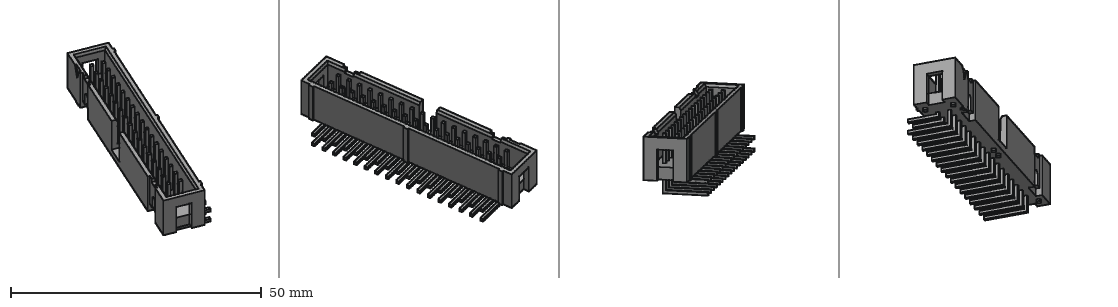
import cadquery as cq

length = 50.8
depth = 8.9
height = 8.9
end_wall = 1.25
side_wall = 1.3
floor_top = 2.6
mouth_run = 0.35
mouth_drop = 0.6
front_y = -depth / 2
back_y = depth / 2

pitch = 2.55
column_count = 17
pin_width = 0.65
pin_top = 8.65
overall_depth = 12.1
pin_tip_y = front_y + overall_depth
pin_bottom = -3.6
column_xs = [pitch * (i - (column_count - 1) / 2) for i in range(column_count)]
end_column_x = column_xs[0]
feature_x = pitch - end_column_x

key_width = 4.1
key_bottom = 1.5
key_depth = 2.0

latch_xs = (-16.5, 19.05)
latch_width = 3.95
latch_depth = 0.45
latch_foot_height = 1.7
latch_notch_width = 2.05
latch_notch_drop = 0.9
latch_slot_width = 1.4
latch_slot_top = 4.8

window_width = 3.35
window_top = 6.4

arrow_width = 2.4
arrow_height = 2.5
arrow_depth = 0.3
foot_mark_width = 1.5
foot_mark_length = 0.95
foot_mark_height = 0.2

standoff_diameter = 1
standoff_height = 0.45
standoff_y = 3.0
rib_width = 1
rib_height = 0.3


def block(x_range, y_range, z_range):
    """Axis-aligned box between the given limits."""
    (x0, x1), (y0, y1), (z0, z1) = x_range, y_range, z_range
    return cq.Workplane("XY").box(x1 - x0, y1 - y0, z1 - z0, centered=False).translate((x0, y0, z0))


def span(centre, width):
    """Limits of a width centred on a coordinate."""
    return (centre - width / 2, centre + width / 2)


def cavity():
    """Contact cavity with a flared mouth."""
    inner_length = length - 2 * end_wall
    inner_depth = depth - 2 * side_wall
    pocket = cq.Workplane("XY").workplane(offset=floor_top).rect(inner_length, inner_depth)
    pocket = pocket.extrude(height - floor_top)
    mouth = (
        cq.Workplane("XY")
        .workplane(offset=height - mouth_drop)
        .rect(inner_length, inner_depth)
        .workplane(offset=mouth_drop)
        .rect(inner_length + 2 * mouth_run, inner_depth + 2 * mouth_run)
        .loft(ruled=True)
    )
    return pocket.union(mouth)


def key_slot():
    """Slot through the front wall that also dips into the floor."""
    return block(span(0, key_width), (front_y, front_y + key_depth), (key_bottom, height))


def latch_recess(x):
    """Shallow full-height recess with a top notch, an arched slot and an undercut foot."""
    wall_y = (front_y, front_y + side_wall)
    recess = block(span(x, latch_width), (front_y, front_y + latch_depth), (0, height))
    notch = block(span(x, latch_notch_width), wall_y, (height - latch_notch_drop, height))
    foot = block(span(x, latch_width), wall_y, (0, latch_foot_height))
    arch_radius = latch_slot_width / 2
    slot = (
        cq.Workplane("XZ", origin=(x, front_y, 0))
        .moveTo(-arch_radius, 0)
        .lineTo(-arch_radius, latch_slot_top - arch_radius)
        .threePointArc((0, latch_slot_top), (arch_radius, latch_slot_top - arch_radius))
        .lineTo(arch_radius, 0)
        .close()
        .extrude(-side_wall)
    )
    return recess.union(notch).union(foot).union(slot)


def end_window(side):
    """Opening through one end wall, running down to the underside."""
    x_limits = sorted((side * length / 2, side * (length / 2 - end_wall)))
    return block(x_limits, span(0, window_width), (0, window_top))


def pin_one_arrow():
    """Engraved triangle on the front face, open at the rim."""
    return (
        cq.Workplane("XZ", origin=(end_column_x, front_y, height))
        .polyline([(-arrow_width / 2, 0), (arrow_width / 2, 0), (0, -arrow_height)])
        .close()
        .extrude(-arrow_depth)
    )


def pin_one_foot_mark():
    """Raised triangle under the housing, pointing at the first pin column."""
    half_width = foot_mark_width / 2
    return (
        cq.Workplane("XY", origin=(end_column_x, front_y, 0))
        .polyline([(-half_width, 0), (half_width, 0), (0, foot_mark_length)])
        .close()
        .extrude(-foot_mark_height)
    )


def standoffs():
    """Short round feet under the housing."""
    xs = (-feature_x, -pitch / 2, pitch / 2, feature_x)
    points = [(x, y) for x in xs for y in (-standoff_y, standoff_y)]
    return cq.Workplane("XY").pushPoints(points).circle(standoff_diameter / 2).extrude(-standoff_height)


def back_rib(x):
    """Full-height rib on the back face."""
    return block(span(x, rib_width), (back_y, back_y + rib_height), (0, height))


def pin(x, row_y, tail_bottom):
    """L-shaped contact: upright post with a tail bent toward +Y."""
    post = block(span(x, pin_width), span(row_y, pin_width), (tail_bottom, pin_top))
    tail_y = (row_y - pin_width / 2, pin_tip_y)
    tail = block(span(x, pin_width), tail_y, (tail_bottom, tail_bottom + pin_width))
    return post.union(tail)


result = cq.Workplane("XY").box(length, depth, height, centered=(True, True, False))
result = result.cut(cavity()).cut(key_slot()).cut(pin_one_arrow())
for latch_x in latch_xs:
    result = result.cut(latch_recess(latch_x))
for end_side in (-1, 1):
    result = result.cut(end_window(end_side))

result = result.union(pin_one_foot_mark()).union(standoffs())
for rib_x in (-feature_x, 0, feature_x):
    result = result.union(back_rib(rib_x))

for column_x in column_xs:
    result = result.union(pin(column_x, -pitch / 2, pin_bottom))
    result = result.union(pin(column_x, pitch / 2, pin_bottom + pitch))